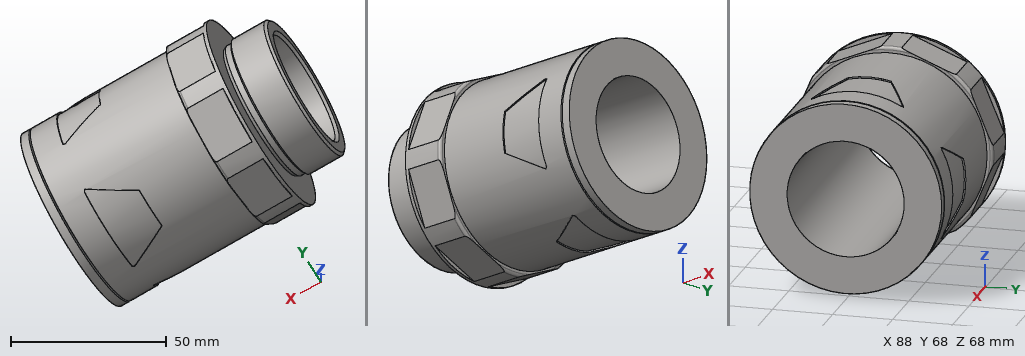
import cadquery as cq
import math


SPIGOT_END = 13.1
NECK_START = 13.75
NECK_END = 15.85
NUT_START = 17.0
FLATS_START = 18.3
NUT_END = 32.5
GROOVE_START = 84.3
GROOVE_WIDTH = 0.6
TOTAL_LENGTH = 88.0

BORE_D = 39.0
SPIGOT_D = 50.0
NECK_D = 48.16
RELIEF_D = 47.0
NUT_D = 68.0
BODY_D = 64.0
GROOVE_D = 58.0

SPIGOT_CHAMFER = 0.9
BORE_CHAMFER = 1.0
NUT_ROUND_R = 1.0

FLAT_COUNT = 8
ACROSS_FLATS = 65.1

RECESS_COUNT = 4
RECESS_START = 58.5
RECESS_END = 74.4
RECESS_START_WIDTH = 14.2
RECESS_END_WIDTH = 31.6
RECESS_CORNER_R = 0.7
RECESS_DEPTH = 0.5


def turned_blank():
    """Spigot, neck, nut and body as one revolved solid."""
    spigot_r = SPIGOT_D / 2
    neck_r = NECK_D / 2
    relief_r = RELIEF_D / 2
    nut_r = NUT_D / 2
    body_r = BODY_D / 2
    round_middle = NUT_ROUND_R * math.sin(math.pi / 4)
    outline = (
        cq.Workplane("XY")
        .lineTo(0, spigot_r - SPIGOT_CHAMFER)
        .lineTo(SPIGOT_CHAMFER, spigot_r)
        .lineTo(SPIGOT_END, spigot_r)
        .lineTo(NECK_START, neck_r)
        .lineTo(NECK_END, neck_r)
        .lineTo(NUT_START, relief_r)
        .lineTo(NUT_START, nut_r)
        .lineTo(NUT_END - NUT_ROUND_R, nut_r)
        .threePointArc(
            (NUT_END - NUT_ROUND_R + round_middle, nut_r - NUT_ROUND_R + round_middle),
            (NUT_END, nut_r - NUT_ROUND_R),
        )
        .lineTo(NUT_END, body_r)
        .lineTo(TOTAL_LENGTH, body_r)
        .lineTo(TOTAL_LENGTH, 0)
        .close()
    )
    return outline.revolve(360, (0, 0, 0), (1, 0, 0))


def ring(start, length, outer_d, inner_d):
    """Plain ring around the X axis."""
    return cq.Workplane("YZ", origin=(start, 0, 0)).circle(outer_d / 2).circle(inner_d / 2).extrude(length)


def flats_cutter():
    """Everything outside the octagon, behind the round front rim of the nut."""
    length = NUT_END - FLATS_START
    corner_d = ACROSS_FLATS / math.cos(math.pi / FLAT_COUNT)
    octagon = cq.Workplane("YZ", origin=(FLATS_START, 0, 0)).polygon(FLAT_COUNT, corner_d).extrude(length)
    blank = cq.Workplane("YZ", origin=(FLATS_START, 0, 0)).circle(NUT_D).extrude(length)
    return blank.cut(octagon)


def recess_cutter():
    """Trapezoidal slice of the body skin on the +Z side."""
    trapezoid = [
        (RECESS_START, -RECESS_START_WIDTH / 2),
        (RECESS_END, -RECESS_END_WIDTH / 2),
        (RECESS_END, RECESS_END_WIDTH / 2),
        (RECESS_START, RECESS_START_WIDTH / 2),
    ]
    prism = cq.Workplane("XY").polyline(trapezoid).close().extrude(BODY_D)
    prism = prism.edges("|Z and >X").fillet(RECESS_CORNER_R)
    skin = ring(RECESS_START, RECESS_END - RECESS_START, NUT_D, BODY_D - 2 * RECESS_DEPTH)
    return prism.intersect(skin)


def bore_cutter():
    """Through bore with a chamfered mouth at the spigot end."""
    bore_r = BORE_D / 2
    half_profile = [
        (0, 0),
        (0, bore_r + BORE_CHAMFER),
        (BORE_CHAMFER, bore_r),
        (TOTAL_LENGTH, bore_r),
        (TOTAL_LENGTH, 0),
    ]
    return cq.Workplane("XY").polyline(half_profile).close().revolve(360, (0, 0, 0), (1, 0, 0))


result = turned_blank()
result = result.cut(flats_cutter())
result = result.cut(ring(GROOVE_START, GROOVE_WIDTH, NUT_D, GROOVE_D))
recess = recess_cutter()
for index in range(RECESS_COUNT):
    angle = index * 360 / RECESS_COUNT
    result = result.cut(recess.rotate((0, 0, 0), (1, 0, 0), angle))
result = result.cut(bore_cutter())